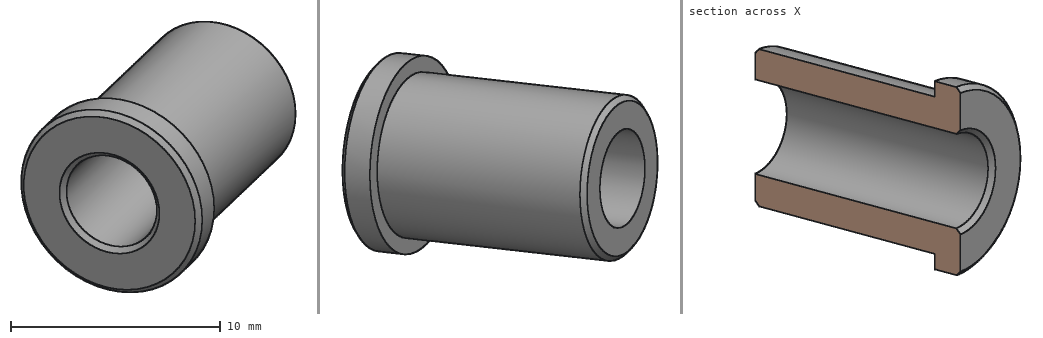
import cadquery as cq

total_length = 12.71
flange_diameter = 9.56
flange_thickness = 1.6
body_diameter = 8.0
bore_diameter = 4.77
edge_chamfer = 0.25


def cylinder_along_y(diameter, length):
    """Solid cylinder running from the flange face (Y = 0) toward +Y."""
    return cq.Workplane("XZ").circle(diameter / 2).extrude(-length)


flange = cylinder_along_y(flange_diameter, flange_thickness).faces("<Y").chamfer(edge_chamfer)
body = cylinder_along_y(body_diameter, total_length).faces(">Y").chamfer(edge_chamfer)

bore = cylinder_along_y(bore_diameter, total_length)
bushing = flange.union(body).cut(bore)
result = bushing.faces("<Y").edges("%CIRCLE").edges(cq.selectors.RadiusNthSelector(0)).chamfer(edge_chamfer)